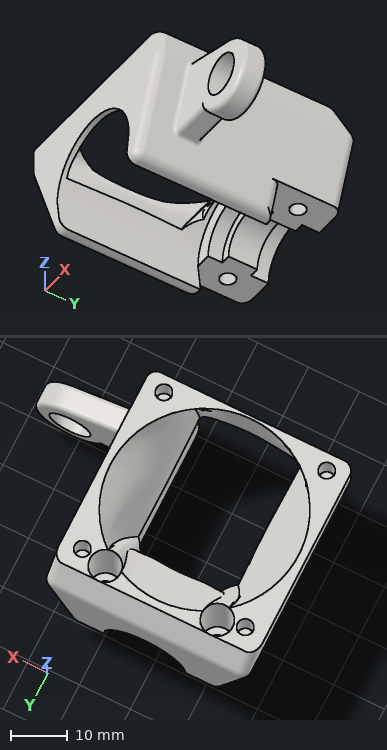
import cadquery as cq
import math


fan_size = 40.05
half_width = fan_size / 2
front_y = -19.05
back_y = 23.6
step_y = 10.8
top_z = 17.85
bottom_z = -6.15
taper_start_z = 12.9
bottom_half_width = 12.95
back_chamfer = 3.65
edge_radius = 2.0

tolerance = 0.005

heatsink_radius = 11.2
leg_inner_bottom = 10.3
flange_radius = 8.0
neck_radius = 6.05
outer_flange_length = 3.7
inner_flange_length = 3.0

fan_bore_dia = 37.05
duct_throat_half_width = 11.7
duct_throat_z = heatsink_radius
duct_exit_half_width = 9.7
duct_exit_front_y = -17.8
duct_exit_back_y = 10.45
duct_exit_z = 5.0
fan_screw_spacing = 32.0
fan_screw_dia = 3.0
fan_screw_depth = 6.0

clamp_screw_x = 11.0
clamp_screw_y = 17.0
clamp_head_dia = 6.0
clamp_hole_dia = 3.1
clamp_floor_z = 3.0
boss_end_radius = 3.9
boss_end_y = 9.8

lug_x = 29.95
lug_z = 3.3
lug_radius = 7.1
lug_hole_dia = 8.1
lug_thickness = 5.1
lug_front_y = -12.1
lug_back_y = lug_front_y + lug_thickness
lug_root_x = 9.7
lug_slope = 15.0
lug_edge_radius = 0.95
lug_root_radius = 0.75


def extrude_along_y(sketch_points, y_start, y_end):
    """Extrude a closed XZ polygon from y_start to y_end."""
    plane = cq.Workplane("XZ", origin=(0, y_start, 0))
    return plane.polyline(sketch_points).close().extrude(y_start - y_end)


def cylinder_along_y(radius, x, z, y_start, y_end):
    """Round bar parallel to Y."""
    plane = cq.Workplane("XZ", origin=(x, y_start, z))
    return plane.circle(radius).extrude(y_start - y_end)


def make_housing():
    """Tapered block with a bevelled, raised back and rounded outer edges."""
    outline = [
        (-half_width, top_z),
        (half_width, top_z),
        (half_width, taper_start_z),
        (bottom_half_width, bottom_z),
        (-bottom_half_width, bottom_z),
        (-half_width, taper_start_z),
    ]
    block = extrude_along_y(outline, front_y, back_y)
    block = block.faces(">Y").edges(">Z").chamfer(back_chamfer)
    relief_outline = [(-half_width, 0), (half_width, 0), (half_width, bottom_z), (-half_width, bottom_z)]
    block = block.cut(extrude_along_y(relief_outline, step_y, back_y))

    rounded = []
    for edge in block.edges().vals():
        box = edge.BoundingBox()
        on_rim = box.zmin > top_z - tolerance
        on_clamp_face = abs(box.zmin) < tolerance and abs(box.zmax) < tolerance
        on_step_foot = box.zmax < bottom_z + tolerance and box.ymin > step_y - tolerance
        if not (on_rim or on_clamp_face or on_step_foot):
            rounded.append(edge)
    return block.newObject(rounded).fillet(edge_radius)


def make_lug():
    """Rounded ear whose sloped top runs tangentially into its eye."""
    slope = math.radians(lug_slope)
    tangent_x = lug_x + lug_radius * math.sin(slope)
    tangent_z = lug_z + lug_radius * math.cos(slope)
    root_top_z = tangent_z + (tangent_x - lug_root_x) * math.tan(slope)
    corner_x = lug_x - math.sqrt(lug_radius**2 - lug_z**2)
    outline = (
        cq.Workplane("XZ", origin=(0, lug_front_y, 0))
        .moveTo(lug_root_x, 0)
        .lineTo(lug_root_x, root_top_z)
        .lineTo(tangent_x, tangent_z)
        .threePointArc((lug_x + lug_radius, lug_z), (corner_x, 0))
        .close()
    )
    lug = outline.extrude(-lug_thickness)
    return lug.faces("<Y or >Y").edges().fillet(lug_edge_radius)


def join_lug(housing):
    """Join the lug to the housing wall and round the seam between them."""
    body = housing.union(make_lug())
    seam = []
    for edge in body.edges().vals():
        box = edge.BoundingBox()
        on_wall = box.xmin > bottom_half_width and box.xmax < half_width + tolerance
        in_lug = box.ymin > lug_front_y - tolerance and box.ymax < lug_back_y + tolerance
        if on_wall and in_lug:
            seam.append(edge)
    return body.newObject(seam).fillet(lug_root_radius)


def make_duct():
    """Air passage from the round fan opening to the rectangular exit."""
    exit_width = 2 * duct_exit_half_width
    exit_length = duct_exit_back_y - duct_exit_front_y
    exit_centre_y = (duct_exit_back_y + duct_exit_front_y) / 2
    duct = (
        cq.Workplane("XY", origin=(0, 0, top_z))
        .circle(fan_bore_dia / 2)
        .workplane(offset=duct_throat_z - top_z)
        .center(0, exit_centre_y)
        .rect(2 * duct_throat_half_width, exit_length)
        .workplane(offset=duct_exit_z - duct_throat_z)
        .rect(exit_width, exit_length)
        .loft()
    )
    for side in (-1, 1):
        boss = (
            cq.Workplane("XY", origin=(side * clamp_screw_x, clamp_screw_y, top_z))
            .circle(clamp_head_dia / 2)
            .workplane(offset=duct_exit_z - top_z)
            .center(0, boss_end_y - clamp_screw_y)
            .circle(boss_end_radius)
            .loft()
        )
        duct = duct.cut(boss)
    return duct


def make_channel():
    """Arched heatsink channel with converging legs, plus the stepped groove-mount bore."""
    outline = (
        cq.Workplane("XZ", origin=(0, front_y, 0))
        .moveTo(-heatsink_radius, 0)
        .threePointArc((0, heatsink_radius), (heatsink_radius, 0))
        .lineTo(leg_inner_bottom, bottom_z)
        .lineTo(-leg_inner_bottom, bottom_z)
        .close()
    )
    channel = outline.extrude(front_y - step_y)
    neck = cylinder_along_y(neck_radius, 0, 0, step_y, back_y)
    inner_flange = cylinder_along_y(flange_radius, 0, 0, step_y, step_y + inner_flange_length)
    outer_flange = cylinder_along_y(flange_radius, 0, 0, back_y - outer_flange_length, back_y)
    return channel.union(neck).union(inner_flange).union(outer_flange)


def make_screw_holes():
    """Four blind fan screw holes and two counterbored clamp holes."""
    fan_holes = (
        cq.Workplane("XY", origin=(0, 0, top_z))
        .rect(fan_screw_spacing, fan_screw_spacing, forConstruction=True)
        .vertices()
        .circle(fan_screw_dia / 2)
        .extrude(-fan_screw_depth)
    )
    clamp_points = [(-clamp_screw_x, clamp_screw_y), (clamp_screw_x, clamp_screw_y)]
    clamp_holes = cq.Workplane("XY").pushPoints(clamp_points).circle(clamp_hole_dia / 2).extrude(top_z)
    heads = (
        cq.Workplane("XY", origin=(0, 0, clamp_floor_z))
        .pushPoints(clamp_points)
        .circle(clamp_head_dia / 2)
        .extrude(top_z - clamp_floor_z)
    )
    return fan_holes.union(clamp_holes).union(heads)


body = join_lug(make_housing())
lug_hole = cylinder_along_y(lug_hole_dia / 2, lug_x, lug_z, lug_front_y, lug_back_y)
result = body.cut(lug_hole).cut(make_channel()).cut(make_duct()).cut(make_screw_holes())